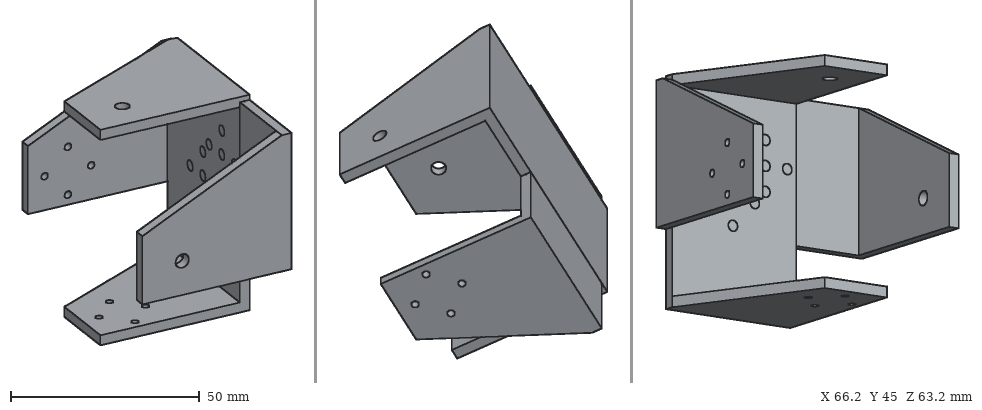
import cadquery as cq

total_x = 66.2
total_y = 45.0
total_z = 63.2

arm_width = 40.0
tip_width = arm_width / 2
web_thickness = 3.0
side_arm_thickness = 3.1
level_arm_thickness = 3.0
side_top_drop = 1.5

web_front = total_y - web_thickness
lap_plane = total_y - web_thickness / 2
upright_left = side_arm_thickness
upright_right = upright_left + arm_width
side_top = total_z - side_top_drop
side_bottom = side_top - arm_width

bolt_diameter = 2.0
pivot_diameter = 4.0
peg_diameter = 3.0
pattern_radius = 7.0
arm_hole_y = 12.05
arm_hole_inset = arm_width - tip_width / 2
web_pattern_inset = 19.5


def box(x_start, x_end, y_start, y_end, z_start, z_end):
    """Make a box from its limits along each axis."""
    size = (x_end - x_start, y_end - y_start, z_end - z_start)
    return cq.Workplane("XY").box(*size, centered=False).translate((x_start, y_start, z_start))


def cross_points(u, v):
    """Four points around a centre, along both axes."""
    r = pattern_radius
    return [(u + r, v), (u - r, v), (u, v + r), (u, v - r)]


def level_arm(z_start, hole_points, hole_diameter):
    """Horizontal arm, tapered on its left edge, with vertical holes."""
    outline = [
        (upright_left, web_front),
        (upright_right, web_front),
        (upright_right, 0),
        (upright_right - tip_width, 0),
    ]
    plane = cq.Workplane("XY", origin=(0, 0, z_start))
    arm = plane.polyline(outline).close().extrude(level_arm_thickness)
    holes = plane.pushPoints(hole_points).circle(hole_diameter / 2).extrude(level_arm_thickness)
    return arm.cut(holes)


def side_arm(x_start, hole_points, hole_diameter):
    """Vertical arm, tapered on its top edge, with holes along X."""
    outline = [
        (web_front, side_top),
        (web_front, side_bottom),
        (0, side_bottom),
        (0, side_bottom + tip_width),
    ]
    plane = cq.Workplane("YZ", origin=(x_start, 0, 0))
    arm = plane.polyline(outline).close().extrude(side_arm_thickness)
    holes = plane.pushPoints(hole_points).circle(hole_diameter / 2).extrude(side_arm_thickness)
    return arm.cut(holes)


def web_pegs():
    """Ten pegs that fill the front half of the web crossing, in two cross patterns."""
    side_centre = (total_x / 2, side_top - web_pattern_inset)
    upright_centre = (upright_left + web_pattern_inset, total_z / 2)
    points = []
    for centre in (side_centre, upright_centre):
        points.append(centre)
        points.extend(cross_points(*centre))
    plane = cq.Workplane("XZ", origin=(0, lap_plane, 0))
    return plane.pushPoints(points).circle(peg_diameter / 2).extrude(lap_plane - web_front)


def make_upright_bracket():
    """Bracket with top and bottom arms; its web is the front half of the lap."""
    hole_centre = (upright_left + arm_hole_inset, arm_hole_y)
    web = box(upright_left, upright_right, web_front, total_y, 0, total_z)
    lap_recess = box(upright_left, upright_right, lap_plane, total_y, side_bottom, side_top)
    bottom_arm = level_arm(0, cross_points(*hole_centre), bolt_diameter)
    top_arm = level_arm(total_z - level_arm_thickness, [hole_centre], pivot_diameter)
    return web.cut(lap_recess).cut(web_pegs()).union(bottom_arm).union(top_arm)


def make_side_bracket():
    """Bracket with left and right arms; its web is the rear half of the lap, with pegs."""
    hole_centre = (arm_hole_y, side_top - arm_hole_inset)
    web = box(0, total_x, web_front, total_y, side_bottom, side_top)
    lap_recess = box(upright_left, upright_right, web_front, lap_plane, side_bottom, side_top)
    left_arm = side_arm(0, cross_points(*hole_centre), bolt_diameter)
    right_arm = side_arm(total_x - side_arm_thickness, [hole_centre], pivot_diameter)
    return web.cut(lap_recess).union(web_pegs()).union(left_arm).union(right_arm)


upright_bracket = make_upright_bracket()
side_bracket = make_side_bracket()

result = cq.Compound.makeCompound([upright_bracket.solids().val(), side_bracket.solids().val()])